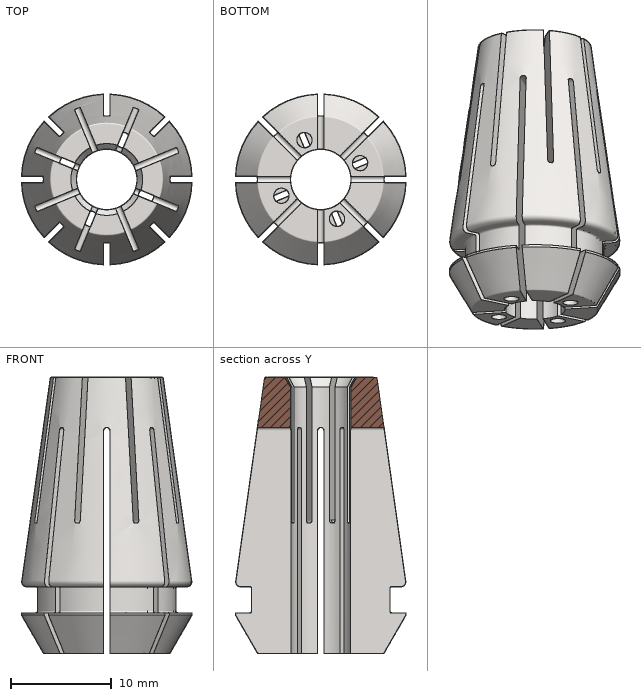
import cadquery as cq
import math

length = 27.5
collar_radius = 8.5
bore_radius = 3.0

cone_angle = 8.0
tip_radius = 5.6
tip_rounding = 0.15
cone_bottom = 6.65
cone_bottom_rounding = 0.5

groove_radius = 6.9
groove_rounding = 0.16
collar_top = 4.07
collar_rim_height = 0.22
nose_angle = 30.0
nose_rounding = 0.15

mouth_depth = 1.0
mouth_angle = 30.0

slot_count = 8
slot_width = 0.6
nose_slot_top = 22.5
tip_slot_bottom = 12.98

hole_count = 4
hole_diameter = 1.5
hole_circle_radius = 4.24

slot_pitch = 360 / slot_count
tip_slot_start = slot_pitch / 2


def taper(height, angle):
    """Change in radius over a height, for a wall leaning by an angle in degrees."""
    return height * math.tan(math.radians(angle))


def outer_body():
    cone_base_radius = tip_radius + taper(length - cone_bottom, cone_angle)
    rim_bottom = collar_top - collar_rim_height
    nose_radius = collar_radius - taper(rim_bottom, nose_angle)
    profile = [
        (0, 0),
        (nose_radius, 0),
        (collar_radius, rim_bottom),
        (collar_radius, collar_top),
        (groove_radius, collar_top),
        (groove_radius, cone_bottom),
        (cone_base_radius, cone_bottom),
        (tip_radius, length),
        (0, length),
    ]
    body = cq.Workplane("XZ").polyline(profile).close().revolve(360, (0, 0), (0, 1))
    body = round_rim(body, nose_radius, 0, nose_rounding)
    body = round_rim(body, groove_radius, collar_top, groove_rounding)
    body = round_rim(body, groove_radius, cone_bottom, groove_rounding)
    body = round_rim(body, cone_base_radius, cone_bottom, cone_bottom_rounding)
    return round_rim(body, tip_radius, length, tip_rounding)


def round_rim(body, radius, z, rounding):
    """Fillet the circular edge of the given radius at height z."""
    tolerance = 0.003
    low_corner = (-radius - tolerance, -radius - tolerance, z - tolerance)
    high_corner = (radius + tolerance, radius + tolerance, z + tolerance)
    rims = cq.selectors.BoxSelector(low_corner, high_corner, boundingbox=True)
    widest = cq.selectors.RadiusNthSelector(-1)
    return body.edges(rims).edges(widest).fillet(rounding)


def bore():
    mouth_radius = bore_radius + taper(mouth_depth, mouth_angle)
    profile = [
        (0, 0),
        (bore_radius, 0),
        (bore_radius, length - mouth_depth),
        (mouth_radius, length),
        (0, length),
    ]
    return cq.Workplane("XZ").polyline(profile).close().revolve(360, (0, 0), (0, 1))


def radial_slot(open_end, round_end, angle):
    """Slot from the axis outwards, open at one height and rounded at the other."""
    half_width = slot_width / 2
    inward = math.copysign(half_width, open_end - round_end)
    straight_end = round_end + inward
    return (
        cq.Workplane("YZ")
        .moveTo(-half_width, open_end)
        .lineTo(-half_width, straight_end)
        .threePointArc((0, round_end), (half_width, straight_end))
        .lineTo(half_width, open_end)
        .close()
        .extrude(length)
        .rotate((0, 0, 0), (0, 0, 1), angle)
    )


def nose_holes():
    """Holes that run up from the nose and open into every second tip slot."""
    depth = tip_slot_bottom + slot_width / 2
    return (
        cq.Workplane("XY")
        .polarArray(hole_circle_radius, -tip_slot_start, 360, hole_count)
        .circle(hole_diameter / 2)
        .extrude(depth)
    )


result = outer_body().cut(bore())
for i in range(slot_count):
    result = result.cut(radial_slot(0, nose_slot_top, i * slot_pitch))
    result = result.cut(radial_slot(length, tip_slot_bottom, tip_slot_start + i * slot_pitch))
result = result.cut(nose_holes())